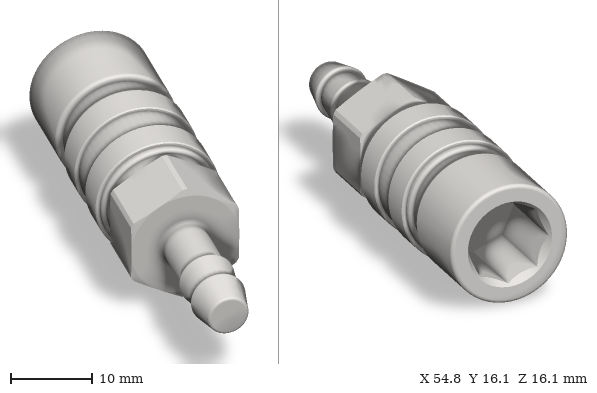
import cadquery as cq
import math


TOTAL_LENGTH = 54.79
SLEEVE_END = 10.9
COLLAR_START = 13.4
FRONT_RING_START = 14.5
RING_WIDTH = 4.25
RING_GAP = 3.95
RING_COUNT = 2
COLLAR_END = 27.9
HEX_START = 29.3
HEX_END = 37.75
BARB_STARTS = (45.8, 50.25)

SLEEVE_DIA = 15.8
NECK_DIA = 14.0
COLLAR_DIA = 15.1
RING_DIA = 16.15
STEM_DIA = 6.05
BARB_DIA = 7.25
BARB_ROOT_DIA = 5.85
TIP_DIA = 5.15

SLEEVE_EDGE = 0.5
COLLAR_EDGE = 0.5
RING_EDGE = 0.15
STEM_FILLET = 0.65
BARB_EDGE = 0.35
TIP_EDGE = 0.4

HEX_SIDES = 6
HEX_FLATS = 14.0
HEX_CORNER_DIA = 15.8
HEX_BEVEL = 0.2

SOCKET_CORNER_DIA = 10.9
SOCKET_SIDES = 8
SOCKET_DEPTH = 11.0
MOUTH_DIA = 11.4
MOUTH_CONE_LENGTH = 1.3
MOUTH_CONE_ANGLE = 30.0


def cylinder(start, end, diameter):
    """Solid cylinder on the X axis between two stations."""
    return cq.Workplane("YZ", origin=(start, 0, 0)).circle(diameter / 2).extrude(end - start)


def cone(start, end, start_dia, end_dia):
    """Solid truncated cone on the X axis between two stations."""
    outline = [(start, 0), (start, start_dia / 2), (end, end_dia / 2), (end, 0)]
    return cq.Workplane("XY").polyline(outline).close().revolve(360, (0, 0, 0), (1, 0, 0))


def make_sleeve():
    """Front sleeve with rounded edges and the neck that joins it to the hexagon."""
    sleeve = cylinder(0, SLEEVE_END, SLEEVE_DIA).edges().fillet(SLEEVE_EDGE)
    neck = cylinder(SLEEVE_END - SLEEVE_EDGE, HEX_START, NECK_DIA)
    return sleeve.union(neck)


def make_grip():
    """Collar with rounded ends that carries the raised rings."""
    grip = cylinder(COLLAR_START, COLLAR_END, COLLAR_DIA).edges().fillet(COLLAR_EDGE)
    for index in range(RING_COUNT):
        start = FRONT_RING_START + index * (RING_WIDTH + RING_GAP)
        ring = cylinder(start, start + RING_WIDTH, RING_DIA).edges().chamfer(RING_EDGE)
        grip = grip.union(ring)
    return grip


def make_hexagon():
    """Wrench hexagon, flats facing +Y and -Y, with turned corners and bevelled ends."""
    across_corners = HEX_FLATS / math.cos(math.pi / HEX_SIDES)
    prism = (
        cq.Workplane("YZ", origin=(HEX_START, 0, 0))
        .transformed(rotate=(0, 0, 90))
        .polygon(HEX_SIDES, across_corners)
        .extrude(HEX_END - HEX_START)
    )
    bevel_height = (HEX_CORNER_DIA - HEX_FLATS) / 2
    envelope = (
        cylinder(HEX_START, HEX_END, HEX_CORNER_DIA)
        .faces(">X").chamfer(HEX_BEVEL, bevel_height)
        .faces("<X").chamfer(HEX_BEVEL, bevel_height)
    )
    return prism.intersect(envelope)


def make_stem():
    """Hose stem with a concave fillet where it leaves the hexagon."""
    radius = STEM_DIA / 2
    fillet_end = HEX_END + STEM_FILLET
    center_radius = radius + STEM_FILLET
    reach = STEM_FILLET * math.sqrt(0.5)
    outline = (
        cq.Workplane("XY")
        .moveTo(HEX_END, 0)
        .lineTo(HEX_END, center_radius)
        .threePointArc((fillet_end - reach, center_radius - reach), (fillet_end, radius))
        .lineTo(BARB_STARTS[0], radius)
        .lineTo(BARB_STARTS[0], 0)
        .close()
    )
    return outline.revolve(360, (0, 0, 0), (1, 0, 0))


def make_barb(start, end, end_dia):
    """Tapering barb with a rounded crest at its wide end."""
    return cone(start, end, BARB_DIA, end_dia).faces("<X").edges().fillet(BARB_EDGE)


def make_socket():
    """Octagonal recess with a conical lead-in that runs out on its flats."""
    recess = cq.Workplane("YZ").polygon(SOCKET_SIDES, SOCKET_CORNER_DIA).extrude(SOCKET_DEPTH)
    end_dia = MOUTH_DIA - 2 * MOUTH_CONE_LENGTH * math.tan(math.radians(MOUTH_CONE_ANGLE))
    return recess.union(cone(0, MOUTH_CONE_LENGTH, MOUTH_DIA, end_dia))


first_barb = make_barb(BARB_STARTS[0], BARB_STARTS[1], BARB_ROOT_DIA)
tip_barb = make_barb(BARB_STARTS[1], TOTAL_LENGTH, TIP_DIA).faces(">X").edges().fillet(TIP_EDGE)

result = (
    make_sleeve()
    .union(make_grip())
    .union(make_hexagon())
    .union(make_stem())
    .union(first_barb)
    .union(tip_barb)
    .cut(make_socket())
)